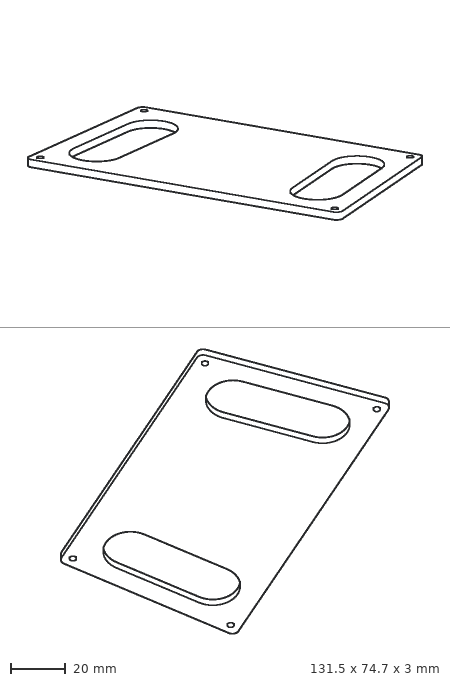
import cadquery as cq

thickness = 3.0
depth = 74.7
rounded_width = 131.5
side_inset = 6.6
corner_radius = 2.5

hole_diameter = 2.5
hole_edge_distance = 4.0
front_hole_x = 61.7
back_hole_x = 55.8

slot_width = 20.0
front_slot_x = 46.3
front_slot_y = -18.8
back_slot_x = 43.3
back_slot_y = 16.0

side_length = (depth**2 + side_inset**2) ** 0.5
corner_trim = corner_radius * (
    (side_length + side_inset) / depth - 1
)
front_half_width = rounded_width / 2 + corner_trim
back_half_width = front_half_width - side_inset


def make_plate():
    outline = [
        (-front_half_width, -depth / 2),
        (front_half_width, -depth / 2),
        (back_half_width, depth / 2),
        (-back_half_width, depth / 2),
    ]
    plate = cq.Workplane("XY").polyline(outline).close().extrude(thickness)
    return plate.edges("|Z").fillet(corner_radius)


def make_screw_holes():
    hole_y = depth / 2 - hole_edge_distance
    centers = []
    for side in (-1, 1):
        centers.append((side * front_hole_x, -hole_y))
        centers.append((side * back_hole_x, hole_y))
    return cq.Workplane("XY").pushPoints(centers).circle(hole_diameter / 2).extrude(thickness)


def make_handle_slot(side):
    front = cq.Vector(side * front_slot_x, front_slot_y)
    back = cq.Vector(side * back_slot_x, back_slot_y)
    axis = (back - front).normalized()
    reach = axis * (slot_width / 2)
    across = cq.Vector(-axis.y, axis.x) * (slot_width / 2)
    return (
        cq.Workplane("XY")
        .moveTo(*(front - across).toTuple()[:2])
        .lineTo(*(back - across).toTuple()[:2])
        .threePointArc((back + reach).toTuple()[:2], (back + across).toTuple()[:2])
        .lineTo(*(front + across).toTuple()[:2])
        .threePointArc((front - reach).toTuple()[:2], (front - across).toTuple()[:2])
        .close()
        .extrude(thickness)
    )


result = make_plate().cut(make_screw_holes())
for side in (-1, 1):
    result = result.cut(make_handle_slot(side))